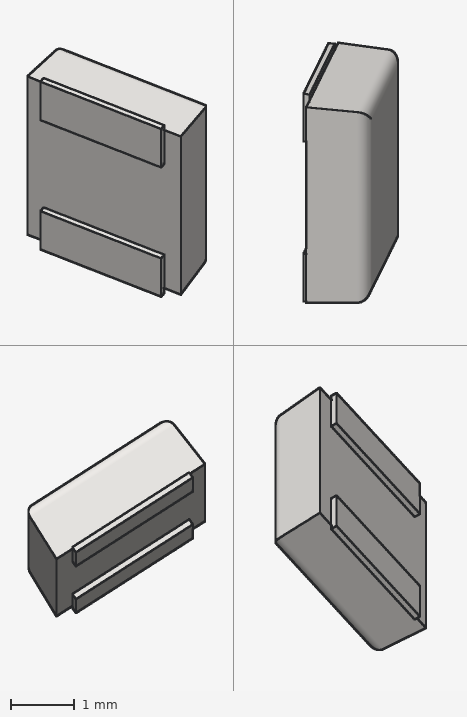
import cadquery as cq

overall_height = 3.5
overall_depth = 1.1

housing_width = 2.8
housing_height = 3.3
draft_angle = 3.0
back_edge_radius = 0.2

pad_width = 2.2
pad_height = 0.8
pad_thickness = 0.1

housing_depth = overall_depth - pad_thickness
pad_center_z = (overall_height - pad_height) / 2


def make_housing():
    """Drafted block with its four back edges rounded."""
    base = cq.Workplane("XZ").rect(housing_width, housing_height)
    block = base.extrude(-housing_depth, taper=draft_angle)
    return block.faces(">Y").edges().fillet(back_edge_radius)


def make_pad(center_z):
    """Flat terminal pad lying against the base face."""
    outline = cq.Workplane("XZ").center(0, center_z).rect(pad_width, pad_height)
    return outline.extrude(pad_thickness)


housing = make_housing()
pads = [make_pad(side * pad_center_z) for side in (-1, 1)]

result = cq.Compound.makeCompound([housing.val(), *[pad.val() for pad in pads]])